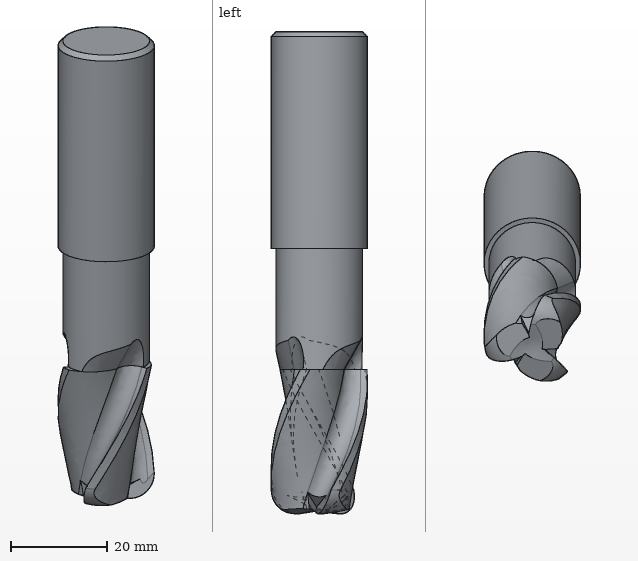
import cadquery as cq
import math

total_length = 100.0
cutting_length = 30.0
neck_top = 55.0
shank_radius = 10.0
shank_chamfer = 1.0
neck_radius = 9.0

tooth_count = 3
tooth_pitch = 360.0 / tooth_count
cutting_radius = 10.0
corner_radius = 5.0
helix_angle = 30.0
twist = math.degrees(cutting_length * math.tan(math.radians(helix_angle)) / cutting_radius)

first_edge_angle = 37.0
margin_angle = 12.0
valley_radius = 6.0
valley_lag = 36.0
heel_radius = neck_radius
heel_angle = 28.0
rake_angle = 10.0
rake_length = 1.4

runout_rise = 10.0
runout_slope = 0.46

gash_face_tilt = 17.0
gash_lead = 45.0
gash_wall_offset = 0.7
gash_roof_angle = 40.0
gash_start = 0.6
gash_reach = 1.5 * cutting_radius

end_land_width = 1.0
end_relief_angle = 10.0
end_relief_length = 8.0
dish_depth = 0.8
overcut = 1.0


def polar(radius, angle):
    """Point at a radius and an angle in degrees."""
    turn = math.radians(angle)
    return (radius * math.cos(turn), radius * math.sin(turn))


def rake_arc_middle(start, end, end_direction):
    """Middle of the arc between two points that leaves the end in a given direction."""
    chord_x = end[0] - start[0]
    chord_y = end[1] - start[1]
    chord_direction = math.degrees(math.atan2(chord_y, chord_x))
    half_sweep = chord_direction - end_direction
    bulge = math.tan(math.radians(half_sweep / 2)) / 2
    return (
        (start[0] + end[0]) / 2 - chord_y * bulge,
        (start[1] + end[1]) / 2 + chord_x * bulge,
    )


def add_flute_wall(sketch, edge_angle):
    """From the margin's end over the tooth back into the valley, then up the rake face."""
    last_edge_angle = edge_angle - tooth_pitch
    heel = polar(heel_radius, last_edge_angle + heel_angle)
    valley = polar(valley_radius, edge_angle - valley_lag)
    edge = polar(cutting_radius, edge_angle)
    rake_direction = edge_angle - rake_angle
    inward = polar(rake_length, rake_direction)
    rake_start = (edge[0] - inward[0], edge[1] - inward[1])
    sketch = sketch.threePointArc(heel, valley)
    sketch = sketch.threePointArc(rake_arc_middle(valley, rake_start, rake_direction), rake_start)
    return sketch.lineTo(*edge)


def tooth_section(turn):
    """Full section of the cutting end, turned about the axis."""
    start_angle = first_edge_angle + turn
    sketch = cq.Workplane("XY").moveTo(*polar(cutting_radius, start_angle))
    for index in range(tooth_count):
        edge_angle = start_angle + index * tooth_pitch
        sketch = sketch.threePointArc(
            polar(cutting_radius, edge_angle + margin_angle / 2),
            polar(cutting_radius, edge_angle + margin_angle),
        )
        sketch = add_flute_wall(sketch, edge_angle + tooth_pitch)
    return sketch.close()


def corner_ring():
    """Ring that rounds the corner of the tip when it is cut away."""
    flat_radius = cutting_radius - corner_radius
    diagonal = corner_radius * math.sqrt(0.5)
    return (
        cq.Workplane("XZ")
        .moveTo(flat_radius, 0)
        .threePointArc(
            (flat_radius + diagonal, corner_radius - diagonal),
            (cutting_radius, corner_radius),
        )
        .lineTo(cutting_radius + corner_radius, corner_radius)
        .lineTo(cutting_radius + corner_radius, -corner_radius)
        .lineTo(flat_radius, -corner_radius)
        .close()
        .revolve(360, (0, 0, 0), (0, 1, 0))
    )


def gash():
    """Notch in front of an end tooth whose edge points along +X where the corner begins."""
    roof_rise = (gash_reach - gash_start) * math.tan(math.radians(gash_roof_angle))
    notch = (
        cq.Workplane("XZ", origin=(0, gash_wall_offset, 0))
        .moveTo(gash_start, 0)
        .lineTo(gash_reach, roof_rise)
        .lineTo(gash_reach, -overcut)
        .lineTo(gash_start, -overcut)
        .close()
        .extrude(-gash_reach)
        .rotate((0, 0, 0), (0, 0, 1), -gash_lead)
    )
    front = (
        cq.Workplane("XY")
        .box(4 * gash_reach, 2 * gash_reach, 4 * gash_reach)
        .translate((0, -gash_reach, 0))
        .rotate((0, 0, 0), (1, 0, 0), -gash_face_tilt)
        .translate((0, 0, corner_radius))
    )
    return notch.intersect(front)


def end_relief():
    """Slanted cut behind the end land of the same tooth."""
    tip_edge = -corner_radius * math.tan(math.radians(gash_face_tilt))
    relief_start = tip_edge + end_land_width
    relief_rise = end_relief_length * math.tan(math.radians(end_relief_angle))
    return (
        cq.Workplane("YZ")
        .moveTo(relief_start, 0)
        .lineTo(relief_start + end_relief_length, relief_rise)
        .lineTo(relief_start + end_relief_length, -overcut)
        .lineTo(relief_start, -overcut)
        .close()
        .extrude(gash_reach)
    )


def dish():
    """Shallow cone that hollows the tip inside the rounded corner."""
    return (
        cq.Workplane("XZ")
        .lineTo(cutting_radius - corner_radius, 0)
        .lineTo(0, dish_depth)
        .close()
        .revolve(360, (0, 0, 0), (0, 1, 0))
    )


def make_cutting_end():
    body = tooth_section(-twist).twistExtrude(cutting_length, twist)
    corner_twist = twist * corner_radius / cutting_length
    for index in range(tooth_count):
        angle = first_edge_angle - twist + corner_twist + index * tooth_pitch
        for cutter in (gash(), end_relief()):
            body = body.cut(cutter.rotate((0, 0, 0), (0, 0, 1), angle))
    return body.cut(corner_ring()).cut(dish())


def runout(edge_angle):
    """Flute section carried upward, outward and along the helix until it leaves the neck."""
    last_margin_end = edge_angle - tooth_pitch + margin_angle
    sketch = cq.Workplane("XY").moveTo(*polar(cutting_radius, last_margin_end))
    sketch = add_flute_wall(sketch, edge_angle)
    outline = sketch.threePointArc(
        polar(2 * cutting_radius, (last_margin_end + edge_angle) / 2),
        polar(cutting_radius, last_margin_end),
    ).wire()
    valley_angle = edge_angle - valley_lag
    along = math.radians(twist) / cutting_length * valley_radius * runout_rise
    out_x, out_y = polar(runout_slope * runout_rise, valley_angle)
    side_x, side_y = polar(along, valley_angle + 90)
    path = cq.Vector(out_x + side_x, out_y + side_y, runout_rise)
    cutter = cq.Solid.extrudeLinear(outline.val(), [], path)
    return cutter.translate(cq.Vector(0, 0, cutting_length))


def make_shank():
    body = (
        cq.Workplane("XY", origin=(0, 0, neck_top))
        .circle(shank_radius)
        .extrude(total_length - neck_top)
        .faces(">Z")
        .chamfer(shank_chamfer)
    )
    neck = cq.Workplane("XY", origin=(0, 0, cutting_length)).circle(neck_radius)
    body = body.union(neck.extrude(neck_top - cutting_length))
    for index in range(tooth_count):
        body = body.cut(cq.Workplane(runout(first_edge_angle + index * tooth_pitch)))
    return body


cutting_end = make_cutting_end()
shank = make_shank()
result = cq.Compound.makeCompound([*cutting_end.solids().vals(), *shank.solids().vals()])